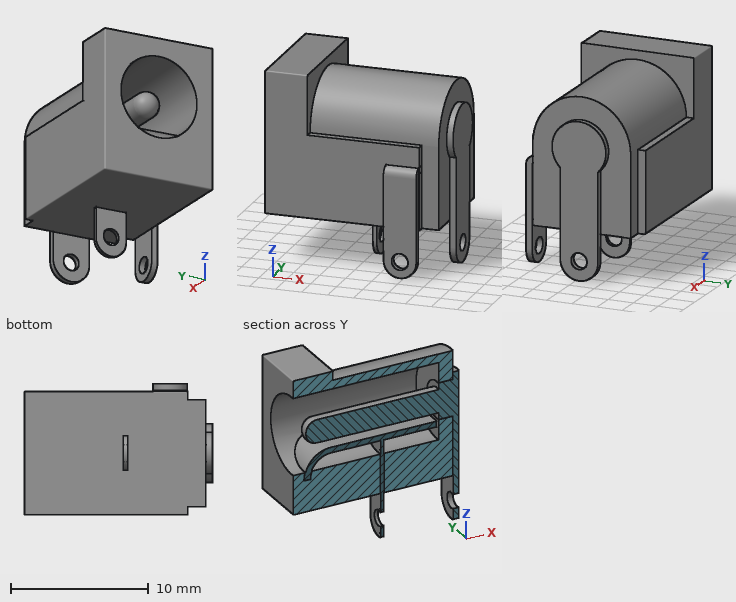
import cadquery as cq
import math


housing_width = 9.0
housing_height = 11.0
front_block_depth = 3.3
side_block_length = 11.9
barrel_end = 13.2
barrel_radius = 3.9
axis_height = 6.4
bore_radius = 3.15
bore_depth = 12.0
edge_round = 0.1

sheet = 0.5
tab_bottom = -3.6
tab_hole_radius = 0.63

pin_radius = 1.01
pin_tip = 1.0
shank_radius = 1.5
disc_radius = 2.15
rear_tab_radius = 1.5
lower_hole_height = tab_bottom + rear_tab_radius

leaf_top = 4.82
leaf_width = 5.99
leaf_bend_radius = 2.2
leaf_bend_x = 3.12
narrow_tab_radius = 1.25
narrow_tab_center = tab_bottom + narrow_tab_radius
side_tab_start = 9.35
side_tab_gap = 0.06
side_tab_bend_radius = 0.67
lower_tab_x = 7.2
lower_tab_thickness = 0.3

side_tab_width = 2 * narrow_tab_radius
leaf_end = side_tab_start + side_tab_width
leaf_bend_z = leaf_top - leaf_bend_radius
leaf_bottom = leaf_top - sheet
side_tab_outer_y = -(housing_width / 2 + side_tab_gap + sheet)


def rod(radius, start, end):
    """Cylinder on the jack axis between two X positions."""
    return (
        cq.Workplane("YZ", origin=(start, 0, axis_height))
        .circle(radius)
        .extrude(end - start)
    )


def upright_tab(x, thickness, radius, top):
    """Tab across X with a rounded lower end and a solder hole."""
    center = tab_bottom + radius
    tab = (
        cq.Workplane("YZ", origin=(x, 0, 0))
        .moveTo(-radius, top)
        .lineTo(-radius, center)
        .threePointArc((0, tab_bottom), (radius, center))
        .lineTo(radius, top)
        .close()
        .extrude(thickness)
    )
    hole = (
        cq.Workplane("YZ", origin=(x, 0, lower_hole_height))
        .circle(tab_hole_radius)
        .extrude(thickness)
    )
    return tab.cut(hole)


def make_center_contact():
    pin = rod(pin_radius, pin_tip + pin_radius, barrel_end)
    tip = cq.Workplane("XY", origin=(pin_tip + pin_radius, 0, axis_height)).sphere(pin_radius)
    shank = rod(shank_radius, bore_depth, barrel_end)
    disc = rod(disc_radius, barrel_end, barrel_end + sheet)
    tab = upright_tab(barrel_end, sheet, rear_tab_radius, axis_height)
    return pin.union(tip).union(shank).union(disc).union(tab)


def make_leaf():
    """Flat strip whose front end curls down to meet the plug."""
    inner_radius = leaf_bend_radius - sheet
    diagonal = math.sqrt(0.5)
    return (
        cq.Workplane("XZ")
        .moveTo(leaf_end, leaf_top)
        .lineTo(leaf_bend_x, leaf_top)
        .threePointArc(
            (leaf_bend_x - leaf_bend_radius * diagonal, leaf_bend_z + leaf_bend_radius * diagonal),
            (leaf_bend_x - leaf_bend_radius, leaf_bend_z),
        )
        .lineTo(leaf_bend_x - inner_radius, leaf_bend_z)
        .threePointArc(
            (leaf_bend_x - inner_radius * diagonal, leaf_bend_z + inner_radius * diagonal),
            (leaf_bend_x, leaf_bottom),
        )
        .lineTo(leaf_end, leaf_bottom)
        .close()
        .extrude(leaf_width / 2, both=True)
    )


def make_side_tab():
    """Strip that leaves the housing sideways and bends down to a rounded, drilled end."""
    inner_y = side_tab_outer_y + sheet
    strip = (
        cq.Workplane("YZ", origin=(side_tab_start, 0, 0))
        .moveTo(0, leaf_top)
        .lineTo(side_tab_outer_y, leaf_top)
        .lineTo(side_tab_outer_y, narrow_tab_center)
        .lineTo(inner_y, narrow_tab_center)
        .lineTo(inner_y, leaf_bottom)
        .lineTo(0, leaf_bottom)
        .close()
        .extrude(side_tab_width)
    )
    strip = strip.edges(
        cq.selectors.NearestToPointSelector((side_tab_start + narrow_tab_radius, side_tab_outer_y, leaf_top))
    ).fillet(side_tab_bend_radius)
    strip = strip.edges(
        cq.selectors.NearestToPointSelector((side_tab_start + narrow_tab_radius, inner_y, leaf_bottom))
    ).fillet(side_tab_bend_radius - sheet)
    rounded_end = (
        cq.Workplane("XZ", origin=(side_tab_start + narrow_tab_radius, inner_y, narrow_tab_center))
        .circle(narrow_tab_radius)
        .extrude(sheet)
    )
    hole = (
        cq.Workplane("XZ", origin=(side_tab_start + narrow_tab_radius, inner_y, narrow_tab_center))
        .circle(tab_hole_radius)
        .extrude(sheet)
    )
    return strip.union(rounded_end).cut(hole)


def make_spring_contact():
    lower_tab = upright_tab(lower_tab_x, lower_tab_thickness, narrow_tab_radius, leaf_bottom)
    return make_leaf().union(make_side_tab()).union(lower_tab)


def make_housing(center_contact, spring_contact):
    block = (
        cq.Workplane("XY")
        .box(side_block_length, housing_width, housing_height, centered=(False, True, False))
        .edges("|X or <X")
        .fillet(edge_round)
    )
    step = (
        cq.Workplane("XY", origin=(front_block_depth, 0, axis_height))
        .box(side_block_length, housing_width, housing_height, centered=(False, True, False))
    )
    barrel = rod(barrel_radius, front_block_depth, barrel_end)
    barrel_base = (
        cq.Workplane("XY", origin=(front_block_depth, 0, 0))
        .box(barrel_end - front_block_depth, 2 * barrel_radius, axis_height, centered=(False, True, False))
    )
    bore = rod(bore_radius, 0, bore_depth)
    shell = block.cut(step).union(barrel).union(barrel_base).cut(bore)
    return shell.cut(center_contact).cut(spring_contact)


center_contact = make_center_contact()
spring_contact = make_spring_contact()
housing = make_housing(center_contact, spring_contact)

result = cq.Compound.makeCompound([
    housing.solids().val(),
    center_contact.solids().val(),
    spring_contact.solids().val(),
])